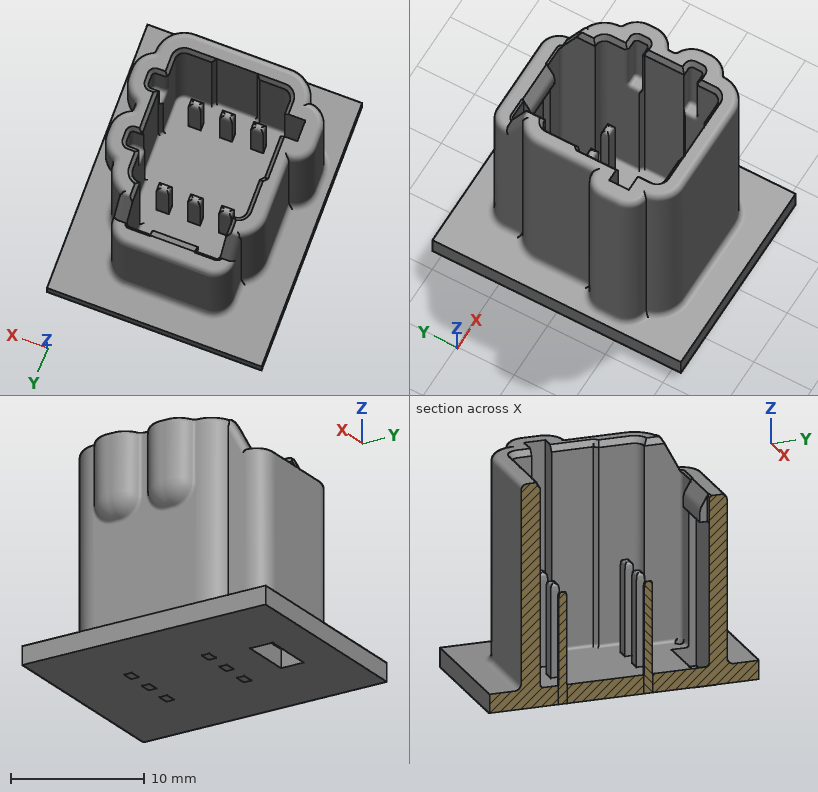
import cadquery as cq
import math

plate_x = 17.2
plate_y = 21.55
plate_top = 1.55

shell_top = 18.0
wall = 1.55
main_half_x = 6.15
main_front = -8.25
main_back = 5.35
main_radius = 2.3
shell_rim_radius = 0.5
base_radius = 0.5

lobe_half_x = 4.85
lobe_back = 8.25
lobe_radius = 1.6
lobe_top = 15.2
lobe_wall_side = 1.1
lobe_wall_back = 1.45
lobe_corner_radius = 0.3
lobe_rim_chamfer = 0.15
ramp_top_y = 5.15
ramp_edge_radius = 0.3

boss_left = -7.7
boss_y = -3.98
boss_half_y = 2.35
boss_radius = 1.65
slot_left = -6.25
slot_y = -4.05
slot_half_y = 0.85

bump_ys = (0.9, -3.85)
groove_right = 5.8
groove_half_y = 0.6
groove_floor = 12.55
groove_radius = 0.3
bump_blend_radius = 0.3

cavity_floor = plate_top
floor_radius = 0.25
lead_in_width = 0.3
lead_in_height = 0.5
side_relief_depth = 0.3
side_relief_back = 0.15
side_relief_front = -3.2
front_relief_half_x = 1.62
front_relief_depth = 0.3

tab_half_x = 1.8
tab_tip_y = 6.2
tab_bottom = 13.0
tab_slope_angle = 60.0
tab_nose_radius = 1.2
opening_half_x = 2.2
opening_front = 5.4
opening_back = 7.4

dimple_radius = 0.32
dimple_depth = 0.3

pin_x_pitch = 2.5
pin_row_ys = (1.95, -4.9)
pin_size_x = 1.0
pin_size_y = 0.68
pin_top = 9.0
pin_tip_height = 0.5
pin_tip_taper = 6.0
pin_tip_radius = 0.27

cavity_half_x = main_half_x - wall
cavity_front = main_front + wall
cavity_back = main_back - wall
cavity_radius = main_radius - wall
lobe_cavity_half_x = lobe_half_x - lobe_wall_side
lobe_cavity_back = lobe_back - lobe_wall_back
tab_root_y = lobe_cavity_back + lobe_rim_chamfer
tab_steepness = math.tan(math.radians(tab_slope_angle))
tab_slope_y = lobe_cavity_back + lobe_rim_chamfer / tab_steepness
tab_nose_z = lobe_top - (tab_slope_y - tab_tip_y) * tab_steepness
pin_places = [(column * pin_x_pitch, y) for y in pin_row_ys for column in (-1, 0, 1)]
bump_right = groove_right + wall
bump_radius = groove_radius + wall
bump_half_y = groove_half_y + wall
bump_bottom = groove_floor - wall
ramp_bottom_y = lobe_back - lobe_radius
lead_in_angle = math.degrees(math.atan(lead_in_width / lead_in_height))
opening_overcut = 1.0
margin = 0.01


def block(x0, x1, y0, y1, z0, z1):
    """Box between two corners."""
    return cq.Workplane("XY").box(x1 - x0, y1 - y0, z1 - z0, centered=False).translate((x0, y0, z0))


def rounded_key(x1, y_centre, half_y, z0, z1, radius):
    """Block from X = 0 to x1 with its far vertical edges and its underside rounded."""
    key = block(0, x1, y_centre - half_y, y_centre + half_y, z0, z1)
    key = key.edges("|Z and >X").fillet(radius)
    return key.faces("<Z").edges("not <X").fillet(radius)


def main_shell():
    """Main rounded block with the two bumps blended into its +X side."""
    shell = block(-main_half_x, main_half_x, main_front, main_back, 0, shell_top)
    shell = shell.edges("|Z").fillet(main_radius)
    for y in bump_ys:
        bump = rounded_key(bump_right, y, bump_half_y, bump_bottom, shell_top, bump_radius)
        shell = shell.union(bump)
    seam = cq.selectors.BoxSelector(
        (main_half_x - margin, main_front, bump_bottom),
        (main_half_x + margin, main_back, shell_top - margin),
        boundingbox=False,
    )
    shell = shell.edges(seam).fillet(bump_blend_radius)
    return shell.faces(">Z").edges().fillet(shell_rim_radius)


def key_boss():
    """Rounded boss on the -X side."""
    boss = block(boss_left, 0, boss_y - boss_half_y, boss_y + boss_half_y, 0, shell_top)
    boss = boss.edges("|Z and <X").fillet(boss_radius)
    return boss.faces(">Z").edges("not >X").fillet(shell_rim_radius)


def lobe_block(top):
    """Block with the outline of the latch lobe."""
    lobe = block(-lobe_half_x, lobe_half_x, 0, lobe_back, 0, top)
    return lobe.edges("|Z and >Y").fillet(lobe_radius)


def ramp_ridge():
    """Ridge that slopes from the top of the main block down into the latch lobe."""
    ramp_run = ramp_bottom_y - ramp_top_y
    ramp_drop = shell_top - lobe_top
    ridge = (
        cq.Workplane("YZ")
        .polyline([
            (0, lobe_top - ramp_drop),
            (ramp_bottom_y + ramp_run, lobe_top - ramp_drop),
            (ramp_top_y, shell_top),
            (0, shell_top),
        ])
        .close()
        .extrude(lobe_half_x, both=True)
    )
    crest = cq.selectors.NearestToPointSelector((0, ramp_top_y, shell_top))
    ridge = ridge.edges(crest).fillet(ramp_edge_radius)
    sides = ridge.faces("<X or >X").edges("not(<Y or <Z)")
    return sides.fillet(shell_rim_radius).intersect(lobe_block(shell_top))


def latch_lobe():
    """Lower lobe at the back, with the ramp up to the top of the main block."""
    lobe = lobe_block(lobe_top)
    lobe = lobe.faces(">Z").edges("not <Y").fillet(shell_rim_radius)
    return lobe.union(ramp_ridge())


def outer_body():
    """Plate and shell without the cavity, joined by a fillet round the foot of the shell."""
    shell = main_shell().union(key_boss()).union(latch_lobe())
    plate = block(-plate_x / 2, plate_x / 2, -plate_y / 2, plate_y / 2, 0, plate_top)
    body = plate.union(shell)
    foot = cq.selectors.BoxSelector(
        (-plate_x / 2 + margin, -plate_y / 2 + margin, plate_top - margin),
        (plate_x / 2 - margin, plate_y / 2 - margin, plate_top + margin),
    )
    return body.edges(foot).fillet(base_radius)


def side_reliefs():
    """Shallow recess along both side walls, with ends sloping at 45 degrees."""
    deep_x = cavity_half_x + side_relief_depth
    return (
        cq.Workplane("XY", origin=(0, 0, cavity_floor))
        .polyline([
            (deep_x, side_relief_front),
            (deep_x, side_relief_back),
            (cavity_half_x, side_relief_back + side_relief_depth),
            (-cavity_half_x, side_relief_back + side_relief_depth),
            (-deep_x, side_relief_back),
            (-deep_x, side_relief_front),
            (-cavity_half_x, side_relief_front - side_relief_depth),
            (cavity_half_x, side_relief_front - side_relief_depth),
        ])
        .close()
        .extrude(shell_top - cavity_floor)
    )


def front_relief():
    """Shallow recess in the middle of the front wall, with ends sloping at 45 degrees."""
    deep_y = cavity_front - front_relief_depth
    wide_x = front_relief_half_x + front_relief_depth
    return (
        cq.Workplane("XY", origin=(0, 0, cavity_floor))
        .polyline([
            (-front_relief_half_x, deep_y),
            (front_relief_half_x, deep_y),
            (wide_x, cavity_front),
            (wide_x, 0),
            (-wide_x, 0),
            (-wide_x, cavity_front),
        ])
        .close()
        .extrude(shell_top - cavity_floor)
    )


def main_cavity():
    """Rounded main cavity."""
    cavity = block(-cavity_half_x, cavity_half_x, cavity_front, cavity_back, cavity_floor, shell_top)
    return cavity.edges("|Z").fillet(cavity_radius)


def lobe_cavity():
    """Part of the cavity inside the latch lobe."""
    x = lobe_cavity_half_x
    cavity = block(-x, x, 0, lobe_cavity_back, cavity_floor, shell_top)
    return cavity.edges("|Z and >Y").fillet(lobe_corner_radius)


def key_slot():
    """Slot inside the boss."""
    return block(slot_left, 0, slot_y - slot_half_y, slot_y + slot_half_y, cavity_floor, shell_top)


def grooved_cavity():
    """Main cavity with the grooves inside the bumps, which are closed at their lower ends."""
    cavity = main_cavity()
    for y in bump_ys:
        groove = rounded_key(groove_right, y, groove_half_y, groove_floor, shell_top, groove_radius)
        cavity = cavity.union(groove)
    return cavity


def rounded_groove_mouths():
    """Grooved cavity with rounded edges where the grooves open into it."""
    mouths = cq.selectors.BoxSelector(
        (cavity_half_x - margin, cavity_front, groove_floor - margin),
        (cavity_half_x + margin, cavity_back, shell_top - margin),
    )
    return grooved_cavity().edges(mouths).fillet(groove_radius)


def lead_in():
    """Sloping rim of the cavity, widening up to the top of the shell."""
    throat = grooved_cavity().union(side_reliefs()).union(lobe_cavity())
    outline = throat.faces(">Z").wires().vals()
    mouth = cq.Workplane("XY", origin=(0, 0, shell_top - lead_in_height)).add(
        [wire.translate(cq.Vector(0, 0, -lead_in_height)) for wire in outline]
    )
    return mouth.toPending().extrude(lead_in_height, taper=-lead_in_angle)


def cavity():
    """Everything removed from the top of the housing."""
    well = rounded_groove_mouths().union(side_reliefs()).union(lobe_cavity())
    well = well.union(key_slot()).union(front_relief())
    return well.faces("<Z").edges().fillet(floor_radius).union(lead_in())


def latch_tab():
    """Tab inside the back wall, with a sloping top and a rounded nose."""
    tab = (
        cq.Workplane("YZ")
        .polyline([
            (tab_root_y, tab_bottom),
            (tab_root_y, lobe_top),
            (tab_slope_y, lobe_top),
            (tab_tip_y, tab_nose_z),
            (tab_tip_y, tab_bottom),
        ])
        .close()
        .extrude(tab_half_x, both=True)
    )
    nose = cq.selectors.NearestToPointSelector((0, tab_tip_y, tab_nose_z))
    return tab.edges(nose).fillet(tab_nose_radius)


def pin_holes():
    """Holes through the plate that the pins fill."""
    plan = cq.Workplane("XY").pushPoints(pin_places).rect(pin_size_x, pin_size_y)
    return plan.extrude(plate_top)


def dimple():
    """Shallow round pocket in the floor, touching both walls of the back left corner."""
    centre = (
        dimple_radius - lobe_cavity_half_x,
        lobe_cavity_back - dimple_radius,
        cavity_floor - dimple_depth,
    )
    pocket = cq.Workplane("XY", origin=centre).circle(dimple_radius)
    return pocket.extrude(dimple_depth + floor_radius)


def latch_opening():
    """Opening through the floor, running up into the back wall as far as the tab."""
    return block(
        -opening_half_x, opening_half_x, opening_front, opening_back, -opening_overcut, tab_bottom
    )


def make_housing():
    """Plate and hollow shell with the latch tab, its opening and the pin holes."""
    housing = outer_body().cut(cavity())
    back_rim = cq.selectors.NearestToPointSelector((0, lobe_cavity_back, lobe_top))
    housing = housing.edges(back_rim).chamfer(lobe_rim_chamfer)
    housing = housing.cut(latch_opening()).union(latch_tab()).cut(dimple())
    return housing.cut(pin_holes())


def make_pin(x, y):
    """One upright pin with a tapered, rounded tip."""
    tip_bottom = pin_top - pin_tip_height
    pin = block(
        x - pin_size_x / 2, x + pin_size_x / 2, y - pin_size_y / 2, y + pin_size_y / 2, 0, tip_bottom
    )
    tip = (
        cq.Workplane("XY", origin=(x, y, tip_bottom))
        .rect(pin_size_x, pin_size_y)
        .extrude(pin_tip_height, taper=pin_tip_taper)
    )
    return pin.union(tip).faces(">Z").edges().fillet(pin_tip_radius)


housing = make_housing()
pins = [make_pin(x, y) for x, y in pin_places]
result = cq.Compound.makeCompound([housing.val(), *(pin.val().Solids()[0] for pin in pins)])